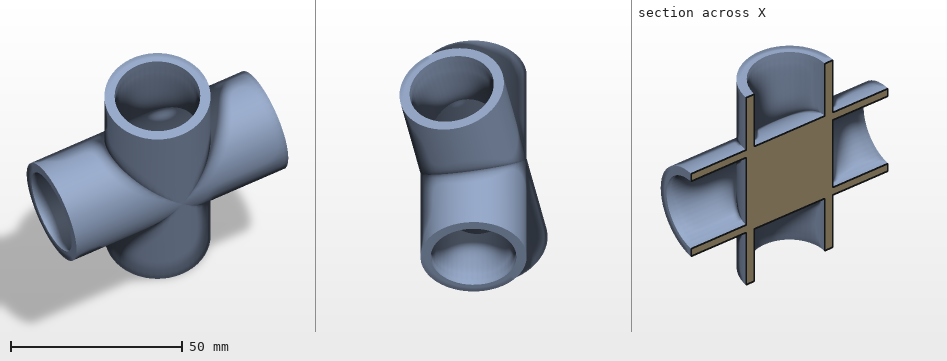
import cadquery as cq

outer_diameter = 31.0
wall_thickness = 3.0
length = 70.0

bore_diameter = outer_diameter - 2 * wall_thickness


def centred_cylinder(plane, diameter):
    """Full-length cylinder centred on the origin, normal to the given plane."""
    return cq.Workplane(plane).circle(diameter / 2).extrude(length / 2, both=True)


vertical_pipe = centred_cylinder("XY", outer_diameter)
horizontal_pipe = centred_cylinder("XZ", outer_diameter)

vertical_bores = centred_cylinder("XY", bore_diameter).cut(horizontal_pipe)
horizontal_bores = centred_cylinder("XZ", bore_diameter).cut(vertical_pipe)

cross = vertical_pipe.union(horizontal_pipe)
result = cross.cut(vertical_bores).cut(horizontal_bores)